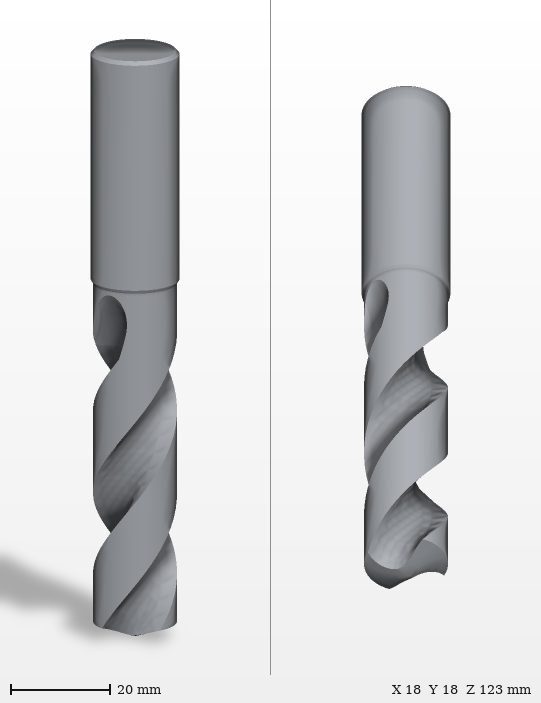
import cadquery as cq
import math

total_length = 123
shank_diameter = 18.0
shank_bottom = 75
top_chamfer = 0.7
shoulder_height = 0.7

drill_diameter = 17.0
drill_top = 73.2
point_angle = 140

flute_count = 2
pitch = 68.4
helix_top = 60.3
lip_angle = -3
flute_angle = 87
lip_inner_radius = 5.2
web_radius = 2.0
heel_overrun = 0.4
heel_lean = 18
cutter_clearance = 3.7

runout_height = 15.3
runout_drift = 9.7
runout_lift = 7.3

shank_radius = shank_diameter / 2
drill_radius = drill_diameter / 2
point_height = drill_radius / math.tan(math.radians(point_angle / 2))
twist_per_unit = 360 / pitch


def polar(radius, degrees):
    angle = math.radians(degrees)
    return radius * math.cos(angle), radius * math.sin(angle)


def flute_profile(start_angle, height):
    """Flute section: straight cutting face, round gullet and an outer sector."""
    heel_angle = start_angle - flute_angle
    middle_angle = start_angle - flute_angle / 2
    outer_radius = drill_radius + cutter_clearance
    return (
        cq.Workplane("XY", origin=(0, 0, height))
        .moveTo(*polar(outer_radius, start_angle))
        .lineTo(*polar(lip_inner_radius, start_angle))
        .threePointArc(polar(web_radius, middle_angle), polar(drill_radius + heel_overrun, heel_angle))
        .lineTo(*polar(outer_radius, heel_angle + heel_lean))
        .threePointArc(polar(outer_radius, middle_angle), polar(outer_radius, start_angle))
        .close()
    )


def helical_cutter(start_angle):
    return flute_profile(start_angle, 0).twistExtrude(helix_top, helix_top * twist_per_unit)


def runout_cutter(start_angle):
    """Carry the top flute section upward while it drifts sideways and curves out of the body."""
    top_angle = start_angle + helix_top * twist_per_unit
    outward_angle = top_angle - flute_angle / 2
    outward_x, outward_y = polar(runout_lift, outward_angle)
    drift_x, drift_y = polar(runout_drift, outward_angle + 90)
    start = cq.Vector(0, 0, helix_top)
    end = cq.Vector(outward_x + drift_x, outward_y + drift_y, helix_top + runout_height)
    start_direction = cq.Vector(drift_x, drift_y, runout_height)
    path = cq.Edge.makeTangentArc(start, start_direction, end)
    return flute_profile(top_angle, helix_top).sweep(cq.Workplane("XY").add(path))


drill = (
    cq.Workplane("XZ")
    .polyline([(0, 0), (drill_radius, point_height), (drill_radius, drill_top), (0, drill_top)])
    .close()
    .revolve(360, (0, 0), (0, 1))
)
shank = (
    cq.Workplane("XZ")
    .polyline([
        (0, drill_top),
        (drill_radius, drill_top),
        (drill_radius, shank_bottom - shoulder_height),
        (shank_radius, shank_bottom),
        (shank_radius, total_length - top_chamfer),
        (shank_radius - top_chamfer, total_length),
        (0, total_length),
    ])
    .close()
    .revolve(360, (0, 0), (0, 1))
)

for index in range(flute_count):
    start_angle = lip_angle + index * 360 / flute_count
    runout = runout_cutter(start_angle)
    drill = drill.cut(helical_cutter(start_angle)).cut(runout)
    shank = shank.cut(runout)

result = cq.Compound.makeCompound([drill.val(), shank.val()])